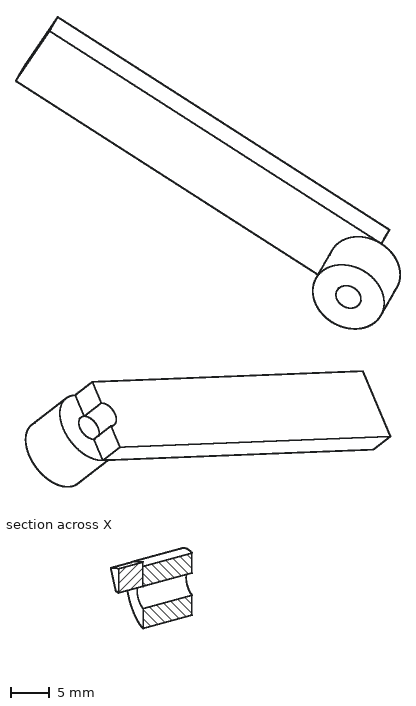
import cadquery as cq
import math

total_length = 52.2
total_depth = 10.65

boss_diameter = 9.7
bore_diameter = 3.4
bar_thickness = 3.55
bar_tilt = 28.3

boss_radius = boss_diameter / 2
bar_width = boss_diameter
boss_length = total_depth - bar_thickness

tilt = math.radians(bar_tilt)
bar_length = (total_length - boss_radius - boss_radius * math.sin(tilt)) / math.cos(tilt)


def cylinder_along_y(diameter, start_y, length):
    """Cylinder on the bore axis, running from start_y towards +Y."""
    plane = cq.Plane(origin=(0, start_y, 0), xDir=(1, 0, 0), normal=(0, 1, 0))
    return cq.Workplane(plane).circle(diameter / 2).extrude(length)


def make_bar():
    """Flat tilted bar with a square end on the bore axis, notched by the bore."""
    bar = (
        cq.Workplane("XY")
        .box(bar_length, bar_thickness, bar_width, centered=(False, False, True))
        .translate((-bar_length, 0, 0))
        .rotate((0, 0, 0), (0, 1, 0), bar_tilt)
    )
    return bar.cut(cylinder_along_y(bore_diameter, 0, bar_thickness))


def make_boss():
    """Round bored boss against the -Y face of the bar."""
    boss = cylinder_along_y(boss_diameter, -boss_length, boss_length)
    return boss.cut(cylinder_along_y(bore_diameter, -boss_length, boss_length))


bar = make_bar()
boss = make_boss()

result = cq.Compound.makeCompound([bar.val(), boss.val()])